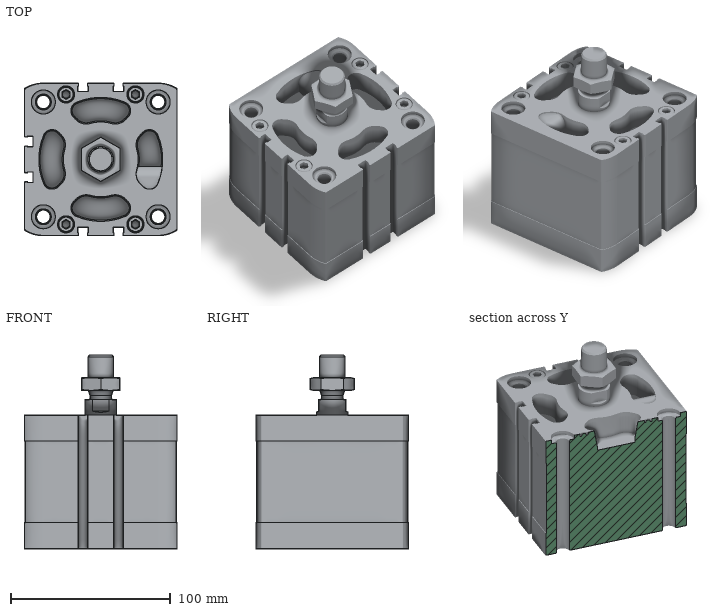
import cadquery as cq
import math

total_height = 121.4
housing_width = 95.5
housing_height = 83.8

cap_height = 16.4
barrel_inset = 0.4
corner_arc_start = 36.2
corner_arc_radius = 21.2
corner_edge_fillet = 1.0

slot_offset = 11.2
slot_depth = 5.2
slot_mouth_width = 5.5
slot_channel_width = 6.4
slot_lip = 1.8
slot_edge_chamfer = 0.4

pocket_outer_radius = 38.8
pocket_inner_radius = 23.4
pocket_web_width = 13.4
pocket_outer_corner_radius = 5.7
pocket_inner_corner_radius = 8.7
pocket_depth = 14.6
pocket_draft = 3.0
ledge_drop = 0.8
ledge_fillet = 6.7

mount_offset = 35.9
mount_bore_diameter = 8.4
mount_chamfer_diameter = 10.0
mount_counterbore_diameter = 15.0
mount_counterbore_depth = 2.7

screw_x = 21.7
screw_y = 40.7
screw_recess_diameter = 10.7
screw_recess_depth = 1.8
screw_head_diameter = 10.0
screw_head_chamfer = 0.5
socket_width = 5.2
socket_depth = 4.9
socket_point_diameter = 4.7
socket_point_angle = 140.0

rod_diameter = 20.0
rod_insertion = cap_height
shoulder_height = 9.7
thread_diameter = 16.0
tip_diameter = 14.3
tip_chamfer_height = 1.2
neck_diameter = 13.5
neck_length = 2.5
neck_cone_height = 3.8
neck_fillet = 0.7
wrench_flat_width = 17.0
wrench_flat_bottom = 2.5
wrench_runout_drop = 0.8

nut_width = 24.0
nut_height = 8.0
nut_bottom = 99.2
nut_face_diameter = 23.5
nut_chamfer_height = 0.6


def outline_block(inset, bottom, height):
    """Prism of the housing outline, moved inward by the inset."""
    half = housing_width / 2 - inset
    radius = corner_arc_radius - inset
    start = corner_arc_start

    def arc_y(x):
        return half - radius + math.sqrt(radius**2 - (x - start) ** 2)

    middle = (start + half) / 2
    block = (
        cq.Workplane("XY", origin=(0, 0, bottom))
        .moveTo(-start, half)
        .lineTo(start, half)
        .threePointArc((middle, arc_y(middle)), (half, arc_y(half)))
        .lineTo(half, -arc_y(half))
        .threePointArc((middle, -arc_y(middle)), (start, -half))
        .lineTo(-start, -half)
        .threePointArc((-middle, -arc_y(middle)), (-half, -arc_y(half)))
        .lineTo(-half, arc_y(half))
        .threePointArc((-middle, arc_y(middle)), (-start, half))
        .close()
        .extrude(height)
    )
    corner_edges = cq.selectors.BoxSelector(
        (-half * 2, -arc_y(half) - corner_edge_fillet, 0),
        (half * 2, arc_y(half) + corner_edge_fillet, housing_height),
    )
    return block.edges("|Z").edges(corner_edges).fillet(corner_edge_fillet)


def slot_pair(inset, bottom, height):
    """Two slots opening toward -Y, with chamfered edges where they meet the inset side face."""
    face = -housing_width / 2 + inset
    lip_back = -housing_width / 2 + slot_lip
    floor = -housing_width / 2 + slot_depth
    mouth = slot_mouth_width / 2
    channel = slot_channel_width / 2
    right_half = [
        (mouth + slot_edge_chamfer, face),
        (mouth, face + slot_edge_chamfer),
        (mouth, lip_back),
        (channel, lip_back),
        (channel, floor),
    ]
    left_half = [(-x, y) for x, y in reversed(right_half)]
    slot = (
        cq.Workplane("XY", origin=(0, 0, bottom))
        .polyline(right_half + left_half)
        .close()
        .extrude(height)
    )
    return slot.translate((-slot_offset, 0, 0)).union(slot.translate((slot_offset, 0, 0)))


def housing_section(inset, bottom, height):
    """One length of the housing, with slots on all sides but +X."""
    section = outline_block(inset, bottom, height)
    slots = slot_pair(inset, bottom, height)
    for angle in (0, 180, 270):
        section = section.cut(slots.rotate((0, 0, 0), (0, 0, 1), angle))
    return section


def pocket():
    """Drafted kidney-shaped pocket on the +Y side of the top face."""
    apex = pocket_web_width / math.sqrt(2)
    reach = housing_width
    profile = (
        cq.Sketch()
        .circle(pocket_outer_radius)
        .circle(pocket_inner_radius, mode="s")
        .polygon([(0, apex), (reach, apex + reach), (-reach, apex + reach), (0, apex)], mode="i")
        .reset()
        .vertices("<X or >X")
        .fillet(pocket_outer_corner_radius)
        .reset()
        .vertices("<Y")
        .fillet(pocket_inner_corner_radius)
    )
    top = cq.Workplane("XY", origin=(0, 0, housing_height))
    return top.placeSketch(profile).extrude(-pocket_depth, taper=pocket_draft)


def pocket_ledge():
    """Rounded block that nearly fills the -Y end of the +X pocket."""
    height = pocket_depth - ledge_drop
    length = housing_width / 2
    front = -slot_offset + ledge_fillet
    return (
        cq.Workplane("XY", origin=(0, 0, housing_height - pocket_depth))
        .rect(length, length)
        .extrude(height)
        .faces(">Y")
        .edges(">Z")
        .fillet(ledge_fillet)
        .translate((length / 2, front - length / 2, 0))
    )


def mounting_hole():
    """Through bore with a chamfered mouth and a counterbore, centred on the Z axis."""
    bore = mount_bore_diameter / 2
    chamfer = mount_chamfer_diameter / 2
    counterbore = mount_counterbore_diameter / 2
    seat = housing_height - mount_counterbore_depth
    return (
        cq.Workplane("XZ")
        .polyline(
            [
                (0, 0),
                (bore, 0),
                (bore, seat - (chamfer - bore)),
                (chamfer, seat),
                (counterbore, seat),
                (counterbore, housing_height),
                (0, housing_height),
            ]
        )
        .close()
        .revolve(360, (0, 0, 0), (0, 1, 0))
    )


def screw_head_gap():
    """Thin ring of space around a sunk, chamfered screw head, centred on the Z axis."""
    head = (
        cq.Workplane("XY", origin=(0, 0, housing_height - screw_recess_depth))
        .circle(screw_head_diameter / 2)
        .extrude(screw_recess_depth)
        .faces(">Z")
        .chamfer(screw_head_chamfer)
    )
    return (
        cq.Workplane("XY", origin=(0, 0, housing_height - screw_recess_depth))
        .circle(screw_recess_diameter / 2)
        .extrude(screw_recess_depth)
        .cut(head)
    )


def screw_socket():
    """Hexagon socket with a conical floor, centred on the Z axis."""
    socket_floor = housing_height - socket_depth
    socket = (
        cq.Workplane("XY", origin=(0, 0, socket_floor))
        .polygon(6, socket_width, circumscribed=True)
        .extrude(socket_depth)
    )
    point_radius = socket_point_diameter / 2
    point_depth = point_radius / math.tan(math.radians(socket_point_angle / 2))
    point = (
        cq.Workplane("XZ")
        .polyline([(0, socket_floor), (point_radius, socket_floor), (0, socket_floor - point_depth)])
        .close()
        .revolve(360, (0, 0, 0), (0, 1, 0))
    )
    return socket.union(point)


def make_housing():
    """Two end caps and a slightly narrower barrel in one piece."""
    barrel_height = housing_height - 2 * cap_height
    body = (
        housing_section(0, 0, cap_height)
        .union(housing_section(barrel_inset, cap_height, barrel_height))
        .union(housing_section(0, housing_height - cap_height, cap_height))
    )

    kidney = pocket()
    for angle in (0, 90, 180):
        body = body.cut(kidney.rotate((0, 0, 0), (0, 0, 1), angle))
    ledge_kidney = kidney.rotate((0, 0, 0), (0, 0, 1), 270).cut(pocket_ledge())
    body = body.cut(ledge_kidney)

    hole = mounting_hole()
    head_gap = screw_head_gap()
    socket = screw_socket()
    for x_side in (-1, 1):
        for y_side in (-1, 1):
            body = body.cut(hole.translate((x_side * mount_offset, y_side * mount_offset, 0)))
            screw_place = (x_side * screw_x, y_side * screw_y, 0)
            body = body.cut(head_gap.translate(screw_place))
            body = body.cut(socket.translate(screw_place))

    rod_bore = (
        cq.Workplane("XY", origin=(0, 0, housing_height - rod_insertion))
        .circle(rod_diameter / 2)
        .extrude(rod_insertion)
    )
    return body.cut(rod_bore)


def wrench_flat():
    """Cut for the flat on the -Y side of the rod shoulder, with a sloping run-out at its foot."""
    flat_y = wrench_flat_width / 2
    rod_radius = rod_diameter / 2
    flat_foot = housing_height + wrench_flat_bottom
    shoulder_top = housing_height + shoulder_height
    return (
        cq.Workplane("YZ")
        .polyline(
            [
                (-flat_y, shoulder_top),
                (-flat_y, flat_foot),
                (-rod_radius, flat_foot - wrench_runout_drop),
                (-rod_radius, shoulder_top),
            ]
        )
        .close()
        .extrude(rod_radius, both=True)
    )


def make_rod():
    """Piston rod with wrench flats, an undercut neck and a threaded end."""
    rod_radius = rod_diameter / 2
    neck_radius = neck_diameter / 2
    thread_radius = thread_diameter / 2
    rod_bottom = housing_height - rod_insertion
    shoulder_top = housing_height + shoulder_height
    neck_top = shoulder_top + neck_length
    fillet_middle = neck_fillet * (1 - math.sqrt(0.5))
    rod = (
        cq.Workplane("XZ")
        .moveTo(0, rod_bottom)
        .lineTo(rod_radius, rod_bottom)
        .lineTo(rod_radius, shoulder_top)
        .lineTo(neck_radius + neck_fillet, shoulder_top)
        .threePointArc(
            (neck_radius + fillet_middle, shoulder_top + fillet_middle),
            (neck_radius, shoulder_top + neck_fillet),
        )
        .lineTo(neck_radius, neck_top)
        .lineTo(thread_radius, neck_top + neck_cone_height)
        .lineTo(thread_radius, total_height - tip_chamfer_height)
        .lineTo(tip_diameter / 2, total_height)
        .lineTo(0, total_height)
        .close()
        .revolve(360, (0, 0, 0), (0, 1, 0))
    )
    flat = wrench_flat()
    return rod.cut(flat).cut(flat.mirror("XZ"))


def make_nut():
    """Hexagon nut with both faces chamfered at the corners."""
    corner_radius = nut_width / math.sqrt(3)
    face_radius = nut_face_diameter / 2
    hexagon = (
        cq.Workplane("XY", origin=(0, 0, nut_bottom))
        .polygon(6, nut_width, circumscribed=True)
        .extrude(nut_height)
    )
    turned_envelope = (
        cq.Workplane("XZ", origin=(0, 0, nut_bottom))
        .polyline(
            [
                (0, 0),
                (face_radius, 0),
                (corner_radius, nut_chamfer_height),
                (corner_radius, nut_height - nut_chamfer_height),
                (face_radius, nut_height),
                (0, nut_height),
            ]
        )
        .close()
        .revolve(360, (0, 0, 0), (0, 1, 0))
    )
    thread_hole = (
        cq.Workplane("XY", origin=(0, 0, nut_bottom)).circle(thread_diameter / 2).extrude(nut_height)
    )
    return hexagon.intersect(turned_envelope).cut(thread_hole)


housing = make_housing()
rod = make_rod()
nut = make_nut()

result = cq.Compound.makeCompound([housing.solids().val(), rod.solids().val(), nut.solids().val()])